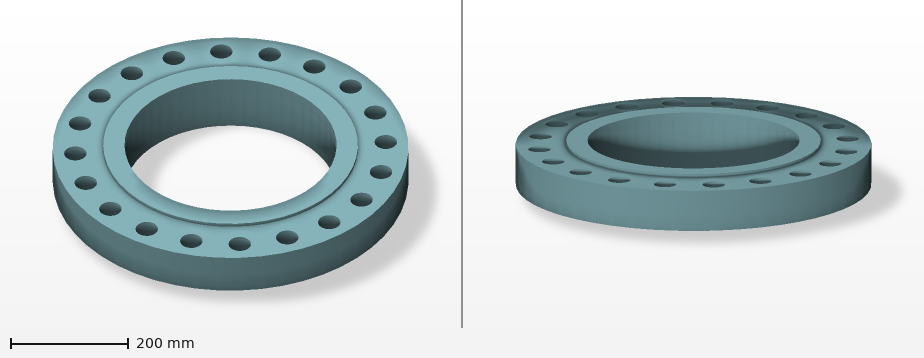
import cadquery as cq

flange_diameter = 603.0
flange_thickness = 70.5

collar_diameter = 432.0
face_height = 6.0
hub_height = 23.5
bore_diameter = 359.5

bolt_count = 20
bolt_circle_diameter = 527.0
bolt_hole_diameter = 38.0
bolt_pitch_angle = 360 / bolt_count

total_height = hub_height + flange_thickness + face_height


def disc(diameter, height, base_z):
    """Solid cylinder on the Z axis, standing on base_z."""
    return cq.Workplane("XY").workplane(offset=base_z).circle(diameter / 2).extrude(height)


def bolt_holes():
    """Cutters for the ring of through holes in the flange."""
    return (
        cq.Workplane("XY")
        .workplane(offset=hub_height)
        .polarArray(bolt_circle_diameter / 2, bolt_pitch_angle / 2, 360, bolt_count)
        .circle(bolt_hole_diameter / 2)
        .extrude(flange_thickness)
    )


collar = disc(collar_diameter, total_height, 0)
flange = disc(flange_diameter, flange_thickness, hub_height)
bore = disc(bore_diameter, total_height, 0)

result = collar.union(flange).cut(bore).cut(bolt_holes())